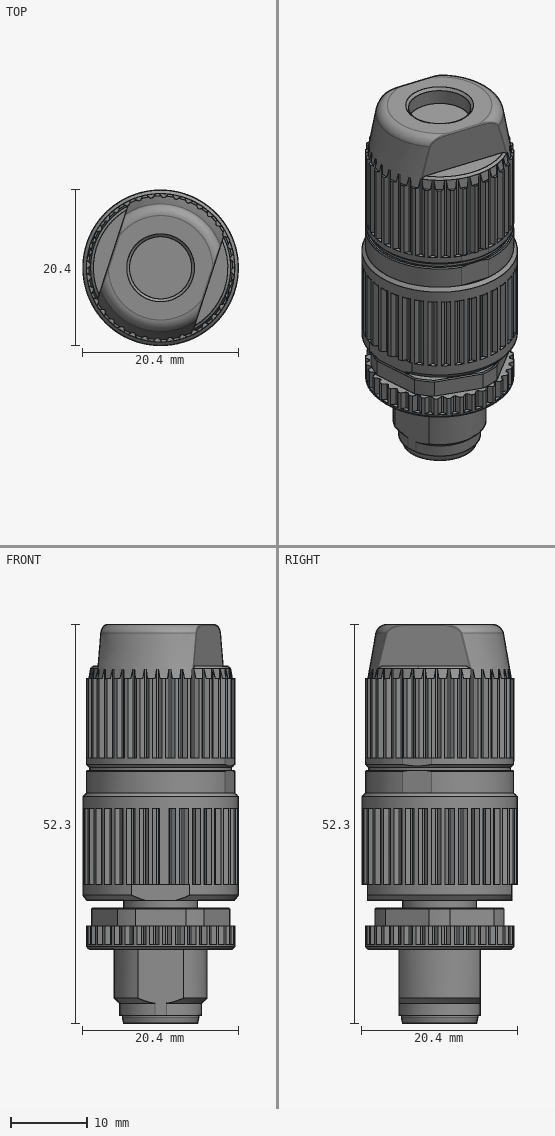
import cadquery as cq
import math

TIP_RIM_TOP = 1.05
NOSE_TOP = 2.6
BARREL_CHAMFER_TOP = 3.3
RING_BOTTOM = 9.65
RING_CHAMFER_TOP = 10.05
RING_KNURL_BOTTOM = 10.3
HEX_BOTTOM = 12.75
HEX_TOP = 15.1
SLEEVE_BOTTOM = 16.1
SLEEVE_CHAMFER_TOP = 16.75
SLEEVE_KNURL_BOTTOM = 18.2
SLEEVE_KNURL_TOP = 28.1
SLEEVE_SHOULDER = 29.65
BAND_BOTTOM = 30.15
BAND_TOP = 33.1
GROOVE_TOP = 33.5
CAP_CHAMFER_TOP = 33.9
CAP_KNURL_BOTTOM = 34.75
CAP_GRIP_TOP = 45.15
FLAT_FLOOR = 46.75
DOME_ROUND_BOTTOM = 51.1
TOP = 52.25

TIP_RADIUS = 4.85
TIP_RIM_RADIUS = 5.0
TIP_CHAMFER = 0.75
NOSE_RADIUS = 5.4
BARREL_RADIUS = 6.1
RING_RADIUS = 9.7
RING_CHAMFER = 0.35
HEX_CORNER_RADIUS = 9.1
HEX_CHAMFER = 0.15
NECK_RADIUS = 4.85
SLEEVE_RADIUS = 10.2
SLEEVE_CHAMFER = 0.5
GRIP_RADIUS = 9.7
GROOVE_RADIUS = 9.3
BAND_CHAMFER = 0.15
DOME_BASE_RADIUS = 9.4
DOME_ROUND_RADIUS = 8.35
DOME_TOP_RADIUS = 6.85

BARREL_FLAT = 5.35
HEX_FLAT = 8.45
SLEEVE_FLAT = 9.45
GRIP_FLAT = 9.5
CAP_FLAT = 6.6
FLAT_TURN = -18.0
CAP_LEDGE_CHAMFER = 0.3
CAP_FLAT_FILLET = 0.15

KNURL_COUNT = 36
KNURL_DEPTH = 0.5
KNURL_FLOOR_WIDTH = 0.25
KNURL_MOUTH_WIDTH = 1.25
KNURL_OVERCUT = 0.2
GRIP_KNURL_START = -92.5
RING_KNURL_START = -95.0

RIB_WIDTH = 1.25
RIB_CENTRE_X = 0.45

HOLE_RADIUS = 4.1
HOLE_CHAMFER = 0.35
HOLE_DEPTH = 2.35

REACH = 31.35
SELECT_MARGIN = 0.05


def cylinder(radius, bottom, top):
    return cq.Workplane("XY", origin=(0, 0, bottom)).circle(radius).extrude(top - bottom)


def outside_flats(flat, bottom, top):
    """Everything beyond two opposite flats facing +/-X, to be cut away."""
    between = cq.Workplane("XY", origin=(0, 0, bottom)).rect(2 * flat, REACH).extrude(top - bottom)
    return cylinder(REACH / 2, bottom, top).cut(between)


def knurl_grooves(radius, bottom, top, start_angle):
    """Grooves spaced evenly around the axis, the first at start_angle."""
    slope = (KNURL_MOUTH_WIDTH - KNURL_FLOOR_WIDTH) / KNURL_DEPTH
    outer_half = (KNURL_MOUTH_WIDTH + slope * KNURL_OVERCUT) / 2
    floor_half = KNURL_FLOOR_WIDTH / 2
    floor_radius = radius - KNURL_DEPTH
    outer_radius = radius + KNURL_OVERCUT
    groove = (
        cq.Workplane("XY", origin=(0, 0, bottom))
        .moveTo(floor_radius, -floor_half)
        .lineTo(outer_radius, -outer_half)
        .lineTo(outer_radius, outer_half)
        .lineTo(floor_radius, floor_half)
        .close()
        .extrude(top - bottom)
    )
    pitch = 360 / KNURL_COUNT
    copies = [
        groove.rotate((0, 0, 0), (0, 0, 1), start_angle + i * pitch).val()
        for i in range(KNURL_COUNT)
    ]
    return cq.Workplane(cq.Compound.makeCompound(copies))


def plug():
    """Plug tip and barrel, with two opposite flats along the barrel."""
    turned = (
        cq.Workplane("XZ")
        .moveTo(0, 0)
        .lineTo(TIP_RADIUS, 0)
        .lineTo(TIP_RIM_RADIUS, TIP_CHAMFER)
        .lineTo(TIP_RIM_RADIUS, TIP_RIM_TOP)
        .lineTo(NOSE_RADIUS, TIP_RIM_TOP)
        .lineTo(NOSE_RADIUS, NOSE_TOP)
        .lineTo(BARREL_RADIUS, BARREL_CHAMFER_TOP)
        .lineTo(BARREL_RADIUS, RING_BOTTOM)
        .lineTo(0, RING_BOTTOM)
        .close()
        .revolve(360, (0, 0, 0), (0, 1, 0))
    )
    flats = outside_flats(BARREL_FLAT, 0, RING_BOTTOM)
    return turned.cut(flats.rotate((0, 0, 0), (0, 0, 1), 90))


def knurled_ring():
    """Knurled ring with a plain chamfered rim at its lower end."""
    ring = cylinder(RING_RADIUS, RING_BOTTOM, HEX_BOTTOM).faces("<Z").chamfer(
        RING_CHAMFER_TOP - RING_BOTTOM, RING_CHAMFER
    )
    return ring.cut(knurl_grooves(RING_RADIUS, RING_KNURL_BOTTOM, HEX_BOTTOM, RING_KNURL_START))


def hex_nut():
    """Hexagon with flats facing +/-Y and its corners turned round."""
    hexagon = (
        cq.Workplane("XY", origin=(0, 0, HEX_BOTTOM))
        .polygon(6, 2 * HEX_FLAT / math.cos(math.pi / 6))
        .extrude(HEX_TOP - HEX_BOTTOM)
    )
    rounded = hexagon.intersect(cylinder(HEX_CORNER_RADIUS, HEX_BOTTOM, HEX_TOP))
    return rounded.faces(">Z").chamfer(HEX_CHAMFER)


def sleeve():
    """Coupling sleeve: knurled body, chamfered ends and two flats at the lower end."""
    turned = (
        cq.Workplane("XZ")
        .moveTo(0, SLEEVE_BOTTOM)
        .lineTo(SLEEVE_RADIUS - SLEEVE_CHAMFER, SLEEVE_BOTTOM)
        .lineTo(SLEEVE_RADIUS, SLEEVE_CHAMFER_TOP)
        .lineTo(SLEEVE_RADIUS, SLEEVE_SHOULDER)
        .lineTo(GRIP_RADIUS, BAND_BOTTOM)
        .lineTo(0, BAND_BOTTOM)
        .close()
        .revolve(360, (0, 0, 0), (0, 1, 0))
    )
    grooves = knurl_grooves(SLEEVE_RADIUS, SLEEVE_KNURL_BOTTOM, SLEEVE_KNURL_TOP, GRIP_KNURL_START)
    rib = (
        cq.Workplane("XY", origin=(RIB_CENTRE_X, -REACH / 4, SLEEVE_KNURL_BOTTOM))
        .rect(RIB_WIDTH, REACH / 2)
        .extrude(SLEEVE_KNURL_TOP - SLEEVE_KNURL_BOTTOM)
    )
    flats = outside_flats(SLEEVE_FLAT, SLEEVE_BOTTOM, SLEEVE_KNURL_BOTTOM)
    flats = flats.rotate((0, 0, 0), (0, 0, 1), 90)
    return turned.cut(grooves.cut(rib)).cut(flats)


def smooth_band():
    """Plain band with two flats and a chamfered rim, and the narrow neck above it."""
    band = (
        cylinder(GRIP_RADIUS, BAND_BOTTOM, BAND_TOP)
        .faces(">Z")
        .chamfer(BAND_CHAMFER)
        .cut(outside_flats(GRIP_FLAT, BAND_BOTTOM, BAND_TOP))
        .rotate((0, 0, 0), (0, 0, 1), FLAT_TURN)
    )
    return band.union(cylinder(GROOVE_RADIUS, BAND_BOTTOM, GROOVE_TOP))


def cable_hole():
    """Cutter for the blind cable hole with its chamfered rim."""
    return (
        cq.Workplane("XZ")
        .moveTo(0, TOP - HOLE_DEPTH)
        .lineTo(HOLE_RADIUS, TOP - HOLE_DEPTH)
        .lineTo(HOLE_RADIUS, TOP - HOLE_CHAMFER)
        .lineTo(HOLE_RADIUS + HOLE_CHAMFER, TOP)
        .lineTo(0, TOP)
        .close()
        .revolve(360, (0, 0, 0), (0, 1, 0))
    )


def cap():
    """Knurled cap with a domed top, two wrench flats and the cable hole."""
    turned = (
        cq.Workplane("XZ")
        .moveTo(0, TOP)
        .lineTo(DOME_TOP_RADIUS, TOP)
        .tangentArcPoint((DOME_ROUND_RADIUS, DOME_ROUND_BOTTOM), relative=False)
        .lineTo(DOME_BASE_RADIUS, CAP_GRIP_TOP)
        .lineTo(GRIP_RADIUS, CAP_GRIP_TOP)
        .lineTo(GRIP_RADIUS, CAP_CHAMFER_TOP)
        .lineTo(GROOVE_RADIUS, GROOVE_TOP)
        .lineTo(0, GROOVE_TOP)
        .close()
        .revolve(360, (0, 0, 0), (0, 1, 0))
    )
    body = turned.cut(outside_flats(CAP_FLAT, FLAT_FLOOR, TOP))
    body = body.cut(outside_flats(GRIP_FLAT, GROOVE_TOP, CAP_KNURL_BOTTOM))
    near_floor = cq.selectors.BoxSelector(
        (-REACH, -REACH, FLAT_FLOOR - SELECT_MARGIN),
        (REACH, REACH, FLAT_FLOOR + SELECT_MARGIN),
    )
    body = body.faces("|Z").faces(near_floor).edges("%CIRCLE").chamfer(CAP_LEDGE_CHAMFER)
    body = body.edges("|Y").edges(">Z").fillet(CAP_FLAT_FILLET)
    body = body.rotate((0, 0, 0), (0, 0, 1), FLAT_TURN)
    body = body.cut(knurl_grooves(GRIP_RADIUS, CAP_KNURL_BOTTOM, FLAT_FLOOR, GRIP_KNURL_START))
    return body.cut(cable_hole())


result = (
    plug()
    .union(knurled_ring())
    .union(hex_nut())
    .union(cylinder(NECK_RADIUS, HEX_TOP, SLEEVE_BOTTOM))
    .union(sleeve())
    .union(smooth_band())
    .union(cap())
)